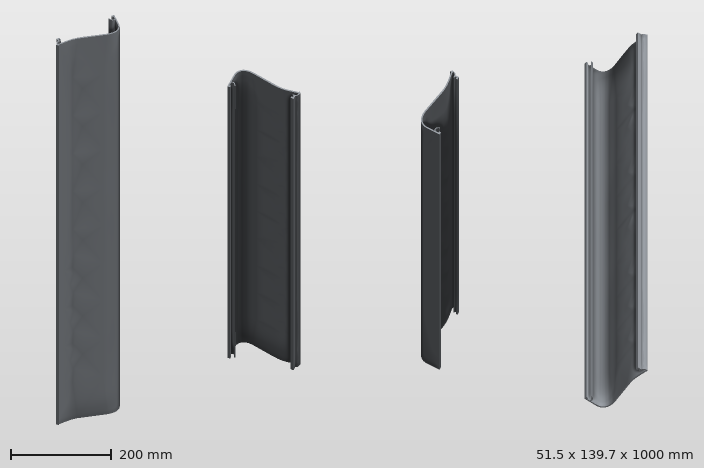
import cadquery as cq

WIDTH = 51.52
DEPTH = 139.7
LENGTH = 1000.0

LEFT = -WIDTH / 2
RIGHT = WIDTH / 2
BACK = DEPTH / 2
FRONT = -DEPTH / 2

WEB_THICKNESS = 2.9
CLIP_THICKNESS = 2.0
HALF_WEB = WEB_THICKNESS / 2

LIP_WIDTH = 4.0
LIP_HEIGHT = 6.0

FLANGE_Y = BACK - HALF_WEB
CORNER_END = (RIGHT - HALF_WEB, 42.0)
FLANGE_START = (LEFT + LIP_WIDTH / 2, FLANGE_Y)
FLANGE_MIDDLE = (-13.0, FLANGE_Y)
FLANGE_BEND = (0.0, 68.0)
CORNER_START = (12.0, 66.0)
CORNER_MIDDLE = (20.3, 58.8)

WALL_BELLY = (23.0, 28.0)
WALL_INFLECTION = (17.8, -1.0)
WALL_HOLLOW = (14.4, -34.0)
WALL_FOOT = (16.8, -52.0)
WALL_END = (19.3, -67.0)

HOOK_ROOT = (-15.0, FLANGE_Y)
HOOK_BEND = (-12.6, 62.0)
HOOK_TIP = (-19.2, 56.6)

CLIP_ROOT = (18.6, -67.9)
CLIP_BEND = (11.5, -64.3)
SPUR_TIP = (10.2, -56.5)

BAR_LEFT = 1.4
BAR_RIGHT = 9.6
BAR_BOTTOM = -62.5
BAR_TOP = -59.5
BEAD_WIDTH = 3.6
BEAD_TOP = -56.0

TOE_SIDE_X = 22.8
TOE_SIDE_Y = -65.0
TOE_LEFT_X = 16.5
TOE_TIP_X = 19.3


def ribbon(centreline, thickness):
    """Thicken a smooth curve through the given points into a square-ended full-length strip."""
    points = [cq.Vector(*point) for point in centreline]
    curve = cq.Edge.makeSpline(points)
    left_side = []
    right_side = []
    for point in points:
        tangent = curve.tangentAt(curve.paramAt(point), mode="parameter")
        offset = cq.Vector(-tangent.y, tangent.x) * (thickness / 2)
        left_side.append(point + offset)
        right_side.append(point - offset)
    outline = cq.Workplane("XY").spline(left_side).lineTo(right_side[-1].x, right_side[-1].y)
    outline = outline.spline(right_side[-2::-1], includeCurrent=True).close()
    return outline.extrude(LENGTH)


def bar(left, right, bottom, top):
    """Full-length bar with a rectangular section."""
    corners = [(left, bottom), (right, bottom), (right, top), (left, top)]
    return cq.Workplane("XY").polyline(corners).close().extrude(LENGTH)


def make_web():
    flange_and_corner = [FLANGE_START, FLANGE_MIDDLE, FLANGE_BEND, CORNER_START, CORNER_MIDDLE, CORNER_END]
    wall = [WALL_BELLY, WALL_INFLECTION, WALL_HOLLOW, WALL_FOOT, WALL_END]
    return ribbon(flange_and_corner + wall, WEB_THICKNESS)


def make_lip():
    return bar(LEFT, LEFT + LIP_WIDTH, BACK - LIP_HEIGHT, BACK)


def make_hook():
    return ribbon([HOOK_ROOT, HOOK_BEND, HOOK_TIP], CLIP_THICKNESS)


def make_clip():
    leg = ribbon([CLIP_ROOT, CLIP_BEND, SPUR_TIP], CLIP_THICKNESS)
    flat = bar(BAR_LEFT, BAR_RIGHT, BAR_BOTTOM, BAR_TOP)
    bead = bar(BAR_LEFT, BAR_LEFT + BEAD_WIDTH, BAR_BOTTOM, BEAD_TOP)
    return leg.union(flat).union(bead)


def make_toe():
    corners = [(TOE_LEFT_X, TOE_SIDE_Y), (TOE_SIDE_X, TOE_SIDE_Y), (TOE_TIP_X, FRONT)]
    return cq.Workplane("XY").polyline(corners).close().extrude(LENGTH)


result = make_web()
for piece in (make_lip(), make_hook(), make_clip(), make_toe()):
    result = result.union(piece)